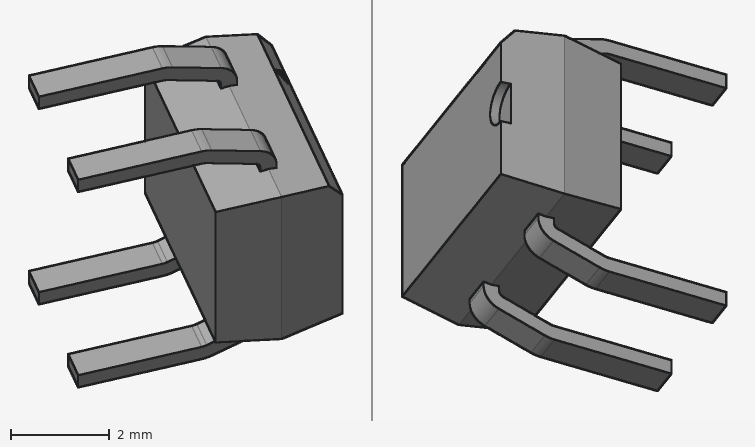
import cadquery as cq
import math

BODY_WIDTH = 4.9
BODY_HEIGHT = 4.0
HALF_DEPTH = 1.35
TAPER_INSET = 0.165
BACK_Y = HALF_DEPTH
BACK_HALF_HEIGHT = BODY_HEIGHT / 2 - TAPER_INSET

CHAMFER_DEPTH = 0.3
CHAMFER_DROP = 0.34
CUT_MARGIN = 0.29

NOTCH_RADIUS = 0.5
NOTCH_DEPTH = 0.21

MARK_WIDTH = 0.385
MARK_HEIGHT = 0.285
MARK_BASE_RISE = 0.05
MARK_DEPTH = 0.045

LEAD_SPACING = 2.54
LEAD_WIDTH = 0.65
LEAD_THICKNESS = 0.345
LEAD_BACK_Y = LEAD_THICKNESS / 2
LEAD_TIP_Y = -4.05
LEAD_TOP_Z = 2.925
LEAD_ROOT_Z = 1.64
LEAD_KNEE_Y = -1.31
LEAD_SLOPE = math.radians(18)
SHOULDER_INNER_RADIUS = 0.145
KNEE_INNER_RADIUS = 0.35


def body_half(direction):
    """Tapered half of the body, growing from the parting plane along +Y (1) or -Y (-1)."""
    return (
        cq.Workplane("XZ")
        .rect(BODY_WIDTH, BODY_HEIGHT)
        .workplane(offset=-direction * HALF_DEPTH)
        .rect(BODY_WIDTH - 2 * TAPER_INSET, BODY_HEIGHT - 2 * TAPER_INSET)
        .loft(ruled=True)
    )


chamfer_low_z = BACK_HALF_HEIGHT - CHAMFER_DROP
chamfer_front_y = BACK_Y - CHAMFER_DEPTH
chamfer_high_z = BACK_HALF_HEIGHT + TAPER_INSET * CHAMFER_DEPTH / HALF_DEPTH
chamfer_rise = chamfer_high_z - chamfer_low_z


def chamfer_cutter():
    """Wedge outside the chamfer plane, running the full width of the body."""
    margin_rise = CUT_MARGIN * chamfer_rise / CHAMFER_DEPTH
    low_point = (BACK_Y + CUT_MARGIN, chamfer_low_z - margin_rise)
    high_point = (chamfer_front_y - CUT_MARGIN, chamfer_high_z + margin_rise)
    return (
        cq.Workplane("YZ")
        .polyline([low_point, high_point, (low_point[0], high_point[1])])
        .close()
        .extrude(BODY_WIDTH / 2, both=True)
    )


def notch_cutter():
    """Cylinder along Y, centred on the back edge of the -X side."""
    center_x = -BODY_WIDTH / 2 + TAPER_INSET
    return (
        cq.Workplane("XZ", origin=(center_x, BACK_Y, 0))
        .circle(NOTCH_RADIUS)
        .extrude(NOTCH_DEPTH)
    )


def mark_cutter():
    """Triangular prism along Y, pointing up, with its floor parallel to the chamfer."""
    base_z = chamfer_low_z + MARK_BASE_RISE
    prism = (
        cq.Workplane("XZ", origin=(-LEAD_SPACING / 2, BACK_Y, base_z))
        .polyline([(-MARK_WIDTH / 2, 0), (MARK_WIDTH / 2, 0), (0, MARK_HEIGHT)])
        .close()
        .extrude(HALF_DEPTH)
    )
    return prism.intersect(chamfer_cutter().translate((0, -MARK_DEPTH, 0)))


def upper_lead(center_x):
    """Flat lead rising out of the body, bent forward over a shoulder and a knee."""
    shoulder_z = LEAD_TOP_Z - (LEAD_BACK_Y - LEAD_KNEE_Y) * math.tan(LEAD_SLOPE)
    inner_shoulder_y = LEAD_BACK_Y - LEAD_THICKNESS
    shoulder_miter = LEAD_THICKNESS * math.tan((math.pi / 2 - LEAD_SLOPE) / 2)
    knee_miter = LEAD_THICKNESS * math.tan(LEAD_SLOPE / 2)
    inner_top_z = LEAD_TOP_Z - LEAD_THICKNESS

    outer_shoulder = (LEAD_BACK_Y, shoulder_z)
    outer_knee = (LEAD_KNEE_Y, LEAD_TOP_Z)
    inner_knee = (LEAD_KNEE_Y - knee_miter, inner_top_z)
    inner_shoulder = (inner_shoulder_y, shoulder_z - shoulder_miter)

    lead = (
        cq.Workplane("YZ", origin=(center_x, 0, 0))
        .polyline([
            (LEAD_BACK_Y, LEAD_ROOT_Z),
            outer_shoulder,
            outer_knee,
            (LEAD_TIP_Y, LEAD_TOP_Z),
            (LEAD_TIP_Y, inner_top_z),
            inner_knee,
            inner_shoulder,
            (inner_shoulder_y, LEAD_ROOT_Z),
        ])
        .close()
        .extrude(LEAD_WIDTH / 2, both=True)
    )
    bends = [
        (outer_shoulder, SHOULDER_INNER_RADIUS + LEAD_THICKNESS),
        (inner_shoulder, SHOULDER_INNER_RADIUS),
        (outer_knee, KNEE_INNER_RADIUS + LEAD_THICKNESS),
        (inner_knee, KNEE_INNER_RADIUS),
    ]
    for (y, z), radius in bends:
        corner = cq.selectors.NearestToPointSelector((center_x, y, z))
        lead = lead.edges("|X").edges(corner).fillet(radius)
    return lead


body = body_half(1).union(body_half(-1))
body = body.cut(chamfer_cutter()).cut(notch_cutter()).cut(mark_cutter())

result = body
for side in (-1, 1):
    lead = upper_lead(side * LEAD_SPACING / 2)
    result = result.union(lead).union(lead.mirror("XY"))